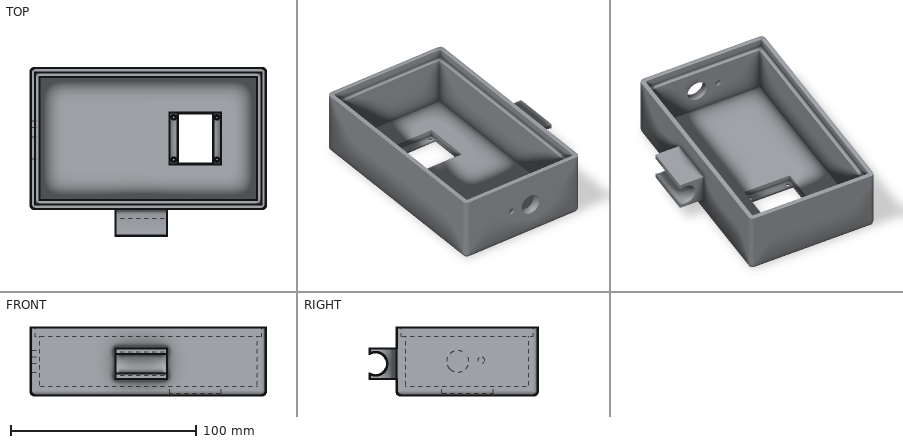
import cadquery as cq

length = 127.0
width = 76.2
height = 36.8
edge_radius = 2.5
wall = 5.0
floor = 5.0

rim_wall = 2.5
lid_recess_depth = 5.1

pocket_x = 25.4
pocket_length = 28.0
pocket_width = 28.0
pocket_depth = 3.8
window_x = 25.5
window_length = 19.0
window_width = 27.0
screw_diameter = 2.0
screw_spacing_x = 23.2
screw_spacing_y = 22.9

large_opening = (11.8, -5.1, height / 2)
small_opening = (3.5, 7.6, 19.0)

clip_x = -3.8
clip_z = 17.1
clip_length = 28.0
clip_reach = 14.5
clip_height = 16.5
clip_bore_diameter = 12.5
clip_bore_offset = 11.3


def block(size_x, size_y, size_z, x, y, bottom):
    """Box centred at x, y and standing on the height bottom."""
    return (
        cq.Workplane("XY")
        .box(size_x, size_y, size_z, centered=(True, True, False))
        .translate((x, y, bottom))
    )


def rod_along_x(diameter, rod_length, x_start, y, z):
    """Cylinder running in +X from x_start."""
    return (
        cq.Workplane("YZ", origin=(x_start, y, z))
        .circle(diameter / 2)
        .extrude(rod_length)
    )


def make_tray():
    tray = block(length, width, height, 0, 0, 0)
    tray = tray.edges("|Z or <Z").fillet(edge_radius)
    cavity = block(length - 2 * wall, width - 2 * wall, height - floor, 0, 0, floor)
    lid_recess = block(
        length - 2 * rim_wall,
        width - 2 * rim_wall,
        lid_recess_depth,
        0,
        0,
        height - lid_recess_depth,
    )
    return tray.cut(cavity).cut(lid_recess)


def make_display_cutout():
    pocket = block(pocket_length, pocket_width, pocket_depth, pocket_x, 0, floor - pocket_depth)
    window = block(window_length, window_width, floor, window_x, 0, 0)
    screw_holes = (
        cq.Workplane("XY", origin=(pocket_x, 0, 0))
        .rect(screw_spacing_x, screw_spacing_y, forConstruction=True)
        .vertices()
        .circle(screw_diameter / 2)
        .extrude(floor)
    )
    return pocket.union(window).union(screw_holes)


def make_clip():
    face_y = -width / 2
    body = block(
        clip_length,
        clip_reach,
        clip_height,
        clip_x,
        face_y - clip_reach / 2,
        clip_z - clip_height / 2,
    )
    bore = rod_along_x(
        clip_bore_diameter,
        clip_length,
        clip_x - clip_length / 2,
        face_y - clip_bore_offset,
        clip_z,
    )
    return body.cut(bore)


result = make_tray().cut(make_display_cutout())
for diameter, y, z in (large_opening, small_opening):
    result = result.cut(rod_along_x(diameter, wall, -length / 2, y, z))
result = result.union(make_clip())